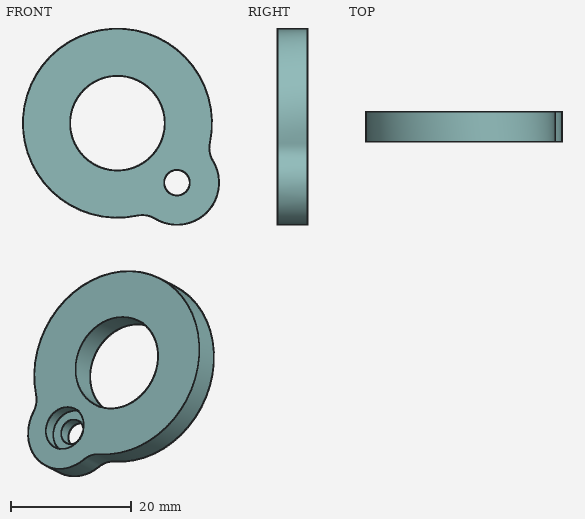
import cadquery as cq

overall_size = 32.55
thickness = 5.0
bore_diameter = 15.65
ring_radius = 15.7
ear_radius = 7.0
ear_hole_diameter = 4.2
counterbore_diameter = 7.2
counterbore_depth = thickness / 2
blend_radius = 4.0
tolerance = 0.0003

ear_offset = overall_size - ring_radius - ear_radius


def cylinder(x, z, radius, length=thickness):
    """Cylinder centred at (x, z), running from the rear face Y = 0 toward -Y."""
    return (
        cq.Workplane("XZ")
        .center(x, z)
        .circle(radius)
        .extrude(length)
    )


ring = cylinder(0, 0, ring_radius)
ear = cylinder(ear_offset, -ear_offset, ear_radius)

body = ring.union(ear)


def is_junction(edge):
    """True for an edge on both the ring and the ear, unlike their seam lines."""
    middle = edge.Center()
    from_ring = (middle.x**2 + middle.z**2) ** 0.5
    from_ear = ((middle.x - ear_offset) ** 2 + (middle.z + ear_offset) ** 2) ** 0.5
    return abs(from_ring - ring_radius) < tolerance and abs(from_ear - ear_radius) < tolerance


junctions = body.edges("|Y").filter(is_junction)
body = junctions.fillet(blend_radius)

bore = cylinder(0, 0, bore_diameter / 2)
ear_hole = cylinder(ear_offset, -ear_offset, ear_hole_diameter / 2)

counterbore = cylinder(ear_offset, -ear_offset, counterbore_diameter / 2, counterbore_depth)

result = body.cut(bore).cut(ear_hole).cut(counterbore)